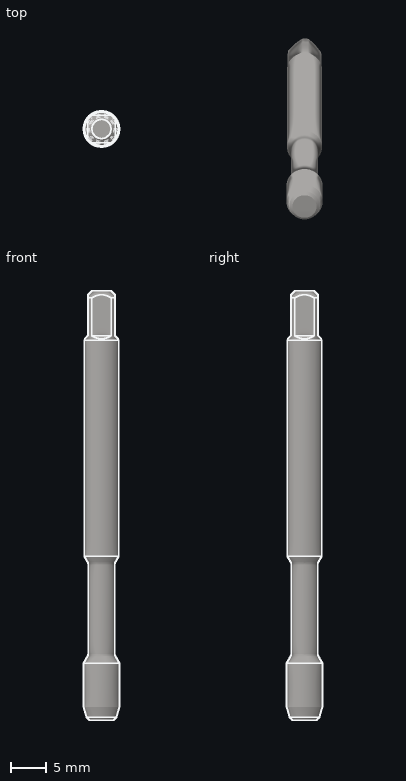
import cadquery as cq
import math

overall_length = 60.55

head_diameter = 5.1
head_length = 8.05
lead_taper_diameter = 4.24
lead_taper_end_height = 1.9
tip_chamfer = 0.42

neck_diameter = 3.76
neck_fillet_radius = 0.6
neck_cone_angle = math.radians(30)
shank_diameter = 4.93
shank_start_height = 23.15
shank_end_height = 53.55

square_width = 3.86
corner_diameter = 4.73
square_top_diameter = 2.7
square_start_height = 54.2


def revolve_profile(points):
    """Turn a closed (radius, height) outline about the Z axis."""
    return cq.Workplane("XZ").polyline(points).close().revolve(360, (0, 0, 0), (0, 1, 0))


def neck_cone_length(outer_diameter):
    """Height of the cone leading from a larger diameter down to the neck."""
    return (outer_diameter - neck_diameter) / 2 / math.tan(neck_cone_angle)


def make_head():
    """Threaded section as a plain cylinder, with its tapered lead and tip chamfer."""
    head_radius = head_diameter / 2
    lead_radius = lead_taper_diameter / 2
    return revolve_profile([
        (0, 0),
        (lead_radius - tip_chamfer, 0),
        (lead_radius, tip_chamfer),
        (head_radius, lead_taper_end_height),
        (head_radius, head_length),
        (0, head_length),
    ])


def make_square_waste():
    """Material around the square drive; its floor slopes outward and down at 45 degrees."""
    drive_length = overall_length - square_start_height
    slope_reach = shank_diameter
    slope_foot = cq.Workplane("XY").workplane(offset=square_start_height - slope_reach)
    slope_foot_width = square_width + 2 * slope_reach

    stock = slope_foot.circle(shank_diameter).extrude(slope_reach + drive_length)
    square = (cq.Workplane("XY").workplane(offset=square_start_height)
              .rect(square_width, square_width).extrude(drive_length))
    sloped_shoulder = (slope_foot.rect(slope_foot_width, slope_foot_width)
                       .workplane(offset=slope_reach)
                       .rect(square_width, square_width).loft(ruled=True))
    return stock.cut(square).cut(sloped_shoulder)


def make_shank():
    """Filleted neck, plain shank and square drive in one piece."""
    neck_radius = neck_diameter / 2
    neck_start = head_length + neck_cone_length(head_diameter)
    neck_end = shank_start_height - neck_cone_length(shank_diameter)
    top_chamfer = (corner_diameter - square_top_diameter) / 2

    shank = revolve_profile([
        (0, head_length),
        (head_diameter / 2, head_length),
        (neck_radius, neck_start),
        (neck_radius, neck_end),
        (shank_diameter / 2, shank_start_height),
        (shank_diameter / 2, shank_end_height),
        (corner_diameter / 2, shank_end_height),
        (corner_diameter / 2, overall_length - top_chamfer),
        (square_top_diameter / 2, overall_length),
        (0, overall_length),
    ])
    for height in (neck_start, neck_end):
        neck_corner = cq.selectors.BoxSelector(
            (-neck_diameter, -neck_diameter, height - neck_fillet_radius / 2),
            (neck_diameter, neck_diameter, height + neck_fillet_radius / 2),
        )
        shank = shank.edges("%CIRCLE").edges(neck_corner).fillet(neck_fillet_radius)
    return shank.cut(make_square_waste())


head = make_head()
shank = make_shank()
result = cq.Compound.makeCompound([head.val(), shank.val()])